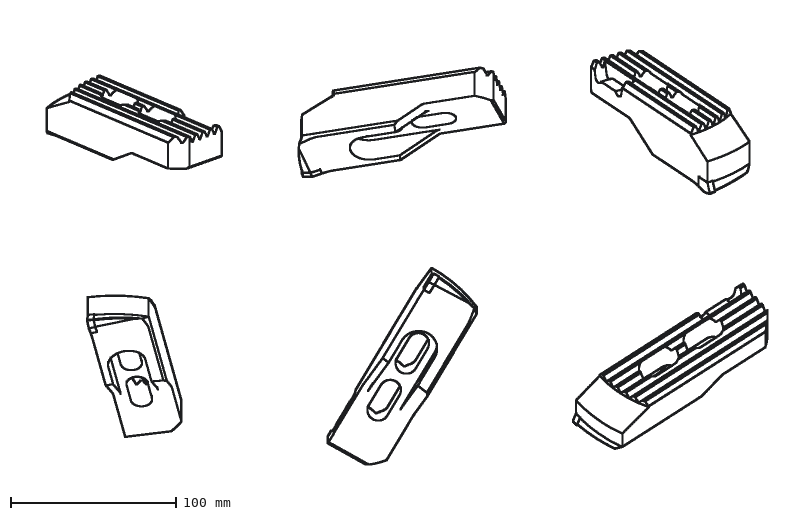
import cadquery as cq
import math

LENGTH = 128.0
WIDTH = 36.1
HEIGHT = 37.4
MARGIN = 12.8

NOSE_AXIS_X = 91.4
FACE_RADIUS = 89.0
STEP_RADIUS = 70.9
STEP_Z = 32.6
SLOPE_ANGLE = 30.0
FLARE_TOP_Z = 7.4
FLARE_END_Z = 1.2
SLOPE_RISE = math.tan(math.radians(SLOPE_ANGLE))
SLOPE_FOOT_Z = STEP_Z - (FACE_RADIUS - STEP_RADIUS) * SLOPE_RISE

FOOT_Z = 2.2
FOOT_END_X = 61.5
FOOT_TILT = 6.0
LIP_X = 5.8
LIP_ANGLE = 11.0
RAMP_ANGLE = 10.0
LIP_RISE = math.tan(math.radians(LIP_ANGLE))
RAMP_RISE = math.tan(math.radians(RAMP_ANGLE))
RAMP_BLEND_RADIUS = 32.0
FLARE_EDGE_CHAMFER = 0.5

TAIL_Z = 16.5
TAIL_BLEND_RADIUS = 3.8
TAIL_CHAMFER = 1.2
TAIL_START_X = FOOT_END_X + (TAIL_Z - FOOT_Z) / SLOPE_RISE
CORNER_X = 119.0
CORNER_Y = -26.6
CORNER_BULGE = 0.5

TOOTH_COUNT = 6
TOOTH_PITCH = WIDTH / TOOTH_COUNT
TOOTH_DEPTH = 3.8
CREST_WIDTH = 1.5
ROOT_WIDTH = 0.4
ROOT_Z = HEIGHT - TOOTH_DEPTH

SLOT_WIDTH = 12.9
SLOT_LENGTH = 27.4
SLOT_Y = -16.0
FIRST_SLOT_X = 53.4
SLOT_SPACING = 33.9
RECESS_WIDTH = 22.8

POCKET_X = 109.0
POCKET_LENGTH = 31.4
POCKET_DEPTH = 9.0
POCKET_WIDTH = 8.0
POCKET_WALL_ANGLE = 12.0
RELIEF_LENGTH = 6.0
RELIEF_DEPTH = 2.0

TIP_LENGTH = 11.9
TIP_WIDTH = 4.0
TIP_TOP_Z = 8.0
TIP_BEVEL_Z = 7.0
TIP_BEVEL_RADIUS = 89.3
TIP_PROUD = 0.3
TIP_EDGE_Z = 1.8
TIP_EDGE_RADIUS = NOSE_AXIS_X


def side_outline():
    """Block with the flat tail and the slope behind the foot."""
    slope_run = (TAIL_Z + MARGIN) / SLOPE_RISE
    blank = (
        cq.Workplane("XZ")
        .moveTo(-MARGIN, HEIGHT)
        .lineTo(-MARGIN, -MARGIN)
        .lineTo(TAIL_START_X - slope_run, -MARGIN)
        .lineTo(TAIL_START_X, TAIL_Z)
        .lineTo(LENGTH - TAIL_CHAMFER, TAIL_Z)
        .lineTo(LENGTH, TAIL_Z + TAIL_CHAMFER)
        .lineTo(LENGTH, HEIGHT)
        .close()
        .extrude(WIDTH)
    )
    slope_top = cq.selectors.NearestToPointSelector((TAIL_START_X, -WIDTH / 2, TAIL_Z))
    return blank.edges(slope_top).fillet(TAIL_BLEND_RADIUS)


def end_outline():
    """Teeth with rounded roots on top and a 45 degree bevel along the lower -Y edge, for the full length."""
    flank_width = (TOOTH_PITCH - ROOT_WIDTH - CREST_WIDTH) / 2
    flank_angle = math.atan2(TOOTH_DEPTH, flank_width)
    root_sag = ROOT_WIDTH / 2 * math.tan(flank_angle / 2)
    outline = (
        cq.Workplane("YZ", origin=(-MARGIN, 0, 0))
        .moveTo(-WIDTH, ROOT_Z)
        .lineTo(-WIDTH, FLARE_TOP_Z)
        .lineTo(-WIDTH + FLARE_TOP_Z + MARGIN, -MARGIN)
        .lineTo(0, -MARGIN)
        .lineTo(0, ROOT_Z)
        .lineTo(-ROOT_WIDTH / 2, ROOT_Z)
    )
    for tooth in range(TOOTH_COUNT):
        start = -tooth * TOOTH_PITCH - ROOT_WIDTH / 2
        end = start - 2 * flank_width - CREST_WIDTH
        outline = (
            outline
            .lineTo(start - flank_width, HEIGHT)
            .lineTo(end + flank_width, HEIGHT)
            .lineTo(end, ROOT_Z)
        )
        if tooth < TOOTH_COUNT - 1:
            root_middle = (end - ROOT_WIDTH / 2, ROOT_Z - root_sag)
            outline = outline.threePointArc(root_middle, (end - ROOT_WIDTH, ROOT_Z))
    return outline.close().extrude(LENGTH + 2 * MARGIN)


def turned_nose(flare):
    """Round body with the roof slope, whose side ends in the given (radius, Z) points from the top down."""
    outline = [(0, HEIGHT), (STEP_RADIUS, HEIGHT), (STEP_RADIUS, STEP_Z), (FACE_RADIUS, SLOPE_FOOT_Z)]
    outline += flare
    outline.append((flare[-1][0], -MARGIN))
    outline.append((0, -MARGIN))
    plane = cq.Workplane("XZ", origin=(NOSE_AXIS_X, 0, 0))
    return plane.polyline([(-radius, z) for radius, z in outline]).close().revolve(360, (0, 0, 0), (0, 1, 0))


def tilted(underside):
    """Extrude an underside outline across the width and raise it towards -Y."""
    return underside.extrude(WIDTH + 2 * MARGIN).rotate((0, 0, 0), (1, 0, 0), -FOOT_TILT)


def foot_space():
    """Everything above the lip, the ramp and the flat foot."""
    ramp_end_x = LIP_X + (FOOT_Z - TIP_PROUD) / RAMP_RISE
    blend = RAMP_BLEND_RADIUS * math.tan(math.radians(RAMP_ANGLE / 2))
    blend_x = blend * math.cos(math.radians(RAMP_ANGLE))
    return tilted(
        cq.Workplane("XZ", origin=(0, MARGIN, 0))
        .moveTo(-MARGIN, 2 * HEIGHT)
        .lineTo(-MARGIN, TIP_PROUD + (LIP_X + MARGIN) * LIP_RISE)
        .lineTo(LIP_X, TIP_PROUD)
        .lineTo(ramp_end_x - blend_x, FOOT_Z - blend_x * RAMP_RISE)
        .tangentArcPoint((ramp_end_x + blend, FOOT_Z), relative=False)
        .lineTo(LENGTH + MARGIN, FOOT_Z)
        .lineTo(LENGTH + MARGIN, 2 * HEIGHT)
        .close()
    )


def tip_space():
    """Everything above the tip's underside, which runs out into the ramp at the back of the tip."""
    return tilted(
        cq.Workplane("XZ", origin=(0, MARGIN, 0))
        .moveTo(-MARGIN, HEIGHT)
        .lineTo(-MARGIN, (LIP_X + MARGIN) * LIP_RISE)
        .lineTo(LIP_X, 0)
        .lineTo(TIP_LENGTH, TIP_PROUD + (TIP_LENGTH - LIP_X) * RAMP_RISE)
        .lineTo(TIP_LENGTH + MARGIN, HEIGHT)
        .close()
    )


def rear_corner():
    bulge = CORNER_BULGE / math.sqrt(2)
    middle = ((CORNER_X + LENGTH) / 2 + bulge, (CORNER_Y - WIDTH) / 2 - bulge)
    return (
        cq.Workplane("XY")
        .moveTo(CORNER_X, -WIDTH)
        .threePointArc(middle, (LENGTH, CORNER_Y))
        .lineTo(LENGTH + MARGIN, CORNER_Y)
        .lineTo(LENGTH + MARGIN, -WIDTH - MARGIN)
        .lineTo(CORNER_X, -WIDTH - MARGIN)
        .close()
        .extrude(HEIGHT)
    )


def bolt_slots():
    """Two through slots over one long recess that is open towards the slope."""
    slots = (
        cq.Workplane("XY")
        .pushPoints([(FIRST_SLOT_X, SLOT_Y), (FIRST_SLOT_X + SLOT_SPACING, SLOT_Y)])
        .slot2D(SLOT_LENGTH, SLOT_WIDTH)
        .extrude(HEIGHT)
    )
    recess_length = SLOT_SPACING + SLOT_LENGTH - SLOT_WIDTH + RECESS_WIDTH
    recess = (
        cq.Workplane("XY")
        .center(FIRST_SLOT_X + SLOT_SPACING / 2, SLOT_Y)
        .slot2D(recess_length, RECESS_WIDTH)
        .extrude(TAIL_Z)
    )
    return slots.union(recess)


def side_pocket():
    floor_z = HEIGHT - POCKET_DEPTH
    top = POCKET_LENGTH / 2
    bottom = top - POCKET_DEPTH * math.tan(math.radians(POCKET_WALL_ANGLE))
    inner = bottom - RELIEF_LENGTH
    groove = bottom - RELIEF_LENGTH / 2
    groove_z = floor_z - RELIEF_DEPTH
    return (
        cq.Workplane("XZ", origin=(POCKET_X, 0, 0))
        .moveTo(-top, HEIGHT)
        .lineTo(-bottom, floor_z)
        .threePointArc((-groove, groove_z), (-inner, floor_z))
        .lineTo(inner, floor_z)
        .threePointArc((groove, groove_z), (bottom, floor_z))
        .lineTo(top, HEIGHT)
        .close()
        .extrude(POCKET_WIDTH)
    )


def tip_seat():
    """Corner of the nose that belongs to the tip."""
    corner = cq.Workplane("XY", origin=(-MARGIN, -TIP_WIDTH, -MARGIN))
    return corner.box(TIP_LENGTH + MARGIN, TIP_WIDTH, TIP_TOP_Z + MARGIN, centered=False)


def make_jaw():
    flare = [(FACE_RADIUS, FLARE_TOP_Z), (TIP_EDGE_RADIUS, FLARE_END_Z)]
    body = side_outline().intersect(turned_nose(flare)).intersect(foot_space())
    near_flare_edge = (LIP_X / 2, -WIDTH / 2, WIDTH / 2 * math.tan(math.radians(FOOT_TILT)))
    flare_edge = cq.selectors.NearestToPointSelector(near_flare_edge)
    body = body.edges(flare_edge).chamfer(FLARE_EDGE_CHAMFER)
    body = body.intersect(end_outline())
    for cut in (rear_corner(), bolt_slots(), side_pocket(), tip_seat()):
        body = body.cut(cut)
    return body


def make_tip():
    flare = [(FACE_RADIUS, TIP_TOP_Z), (TIP_BEVEL_RADIUS, TIP_BEVEL_Z), (TIP_EDGE_RADIUS, TIP_EDGE_Z)]
    return tip_seat().intersect(turned_nose(flare)).intersect(tip_space())


jaw = make_jaw()
tip = make_tip()
result = cq.Compound.makeCompound([jaw.val(), tip.val()])